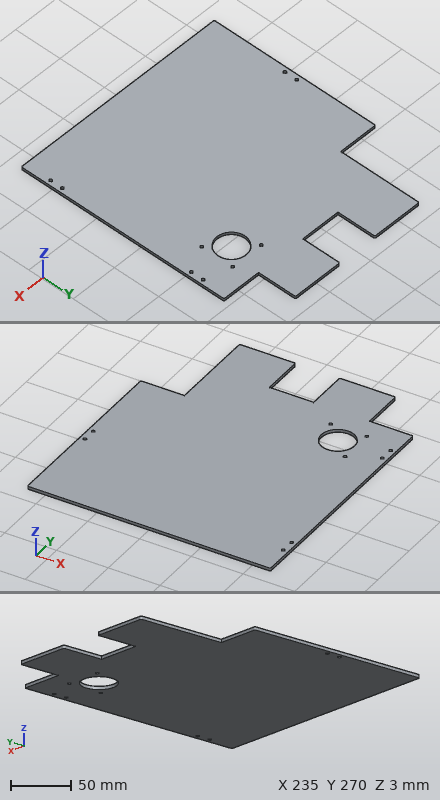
import cadquery as cq

width = 235.0
length = 270.0
thickness = 3.0
corner_radius = 1.4
tab_width = 54.0
tab_length = 41.5
side_step = 42.0
left_shoulder_y = 181.7
right_shoulder_y = length - tab_length

opening_diameter = 32.0
opening_x = width - 50.0
opening_y = 190.5
screw_spacing = 34.8

small_hole_diameter = 3.0
edge_inset = 4.9
pair_pitch = 13.2
left_pair_y = 84.2
right_pair_ys = [28.5, 187.0]


def make_plate():
    left_tab_end = side_step + tab_width
    right_tab_end = width - side_step
    right_tab_start = right_tab_end - tab_width
    outer_corners = [
        (0, 0),
        (width, 0),
        (width, right_shoulder_y),
        (right_tab_end, length),
        (right_tab_start, length),
        (left_tab_end, length),
        (side_step, length),
        (0, left_shoulder_y),
    ]
    outline = [
        (0, 0),
        (width, 0),
        (width, right_shoulder_y),
        (right_tab_end, right_shoulder_y),
        (right_tab_end, length),
        (right_tab_start, length),
        (right_tab_start, right_shoulder_y),
        (left_tab_end, right_shoulder_y),
        (left_tab_end, length),
        (side_step, length),
        (side_step, left_shoulder_y),
        (0, left_shoulder_y),
    ]
    plate = cq.Workplane("XY").polyline(outline).close().extrude(thickness)
    for x, y in outer_corners:
        corner_edge = cq.selectors.NearestToPointSelector((x, y, thickness / 2))
        plate = plate.edges("|Z").edges(corner_edge).fillet(corner_radius)
    return plate


def through_holes(points, diameter):
    return cq.Workplane("XY").pushPoints(points).circle(diameter / 2).extrude(thickness)


def hole_pair(x, lower_y):
    return [(x, lower_y), (x, lower_y + pair_pitch)]


half_spacing = screw_spacing / 2
small_holes = [
    (opening_x - half_spacing, opening_y + half_spacing),
    (opening_x + half_spacing, opening_y + half_spacing),
    (opening_x + half_spacing, opening_y - half_spacing),
]
small_holes += hole_pair(edge_inset, left_pair_y)
for pair_y in right_pair_ys:
    small_holes += hole_pair(width - edge_inset, pair_y)

result = (
    make_plate()
    .cut(through_holes([(opening_x, opening_y)], opening_diameter))
    .cut(through_holes(small_holes, small_hole_diameter))
)